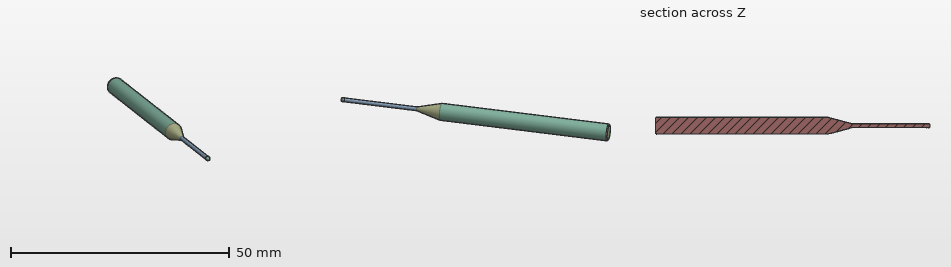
import cadquery as cq
import math

total_length = 63.0
shank_length = 39.45
taper_length = 5.7
cutter_length = 0.9

shank_diameter = 4.0
neck_diameter = 0.95
cutter_diameter = 1.0
end_chamfer = 0.25

shank_radius = shank_diameter / 2
neck_radius = neck_diameter / 2
ball_radius = cutter_diameter / 2

taper_end = shank_length + taper_length
cutter_start = total_length - cutter_length
ball_center = total_length - ball_radius
arc_offset = ball_radius * math.sqrt(0.5)

profile = (
    cq.Workplane("XY")
    .moveTo(0, 0)
    .lineTo(0, shank_radius - end_chamfer)
    .lineTo(end_chamfer, shank_radius)
    .lineTo(shank_length, shank_radius)
    .lineTo(taper_end, neck_radius)
    .lineTo(cutter_start, neck_radius)
    .lineTo(cutter_start, ball_radius)
    .lineTo(ball_center, ball_radius)
    .threePointArc((ball_center + arc_offset, arc_offset), (total_length, 0))
    .close()
)

result = profile.revolve(360, (0, 0, 0), (1, 0, 0))